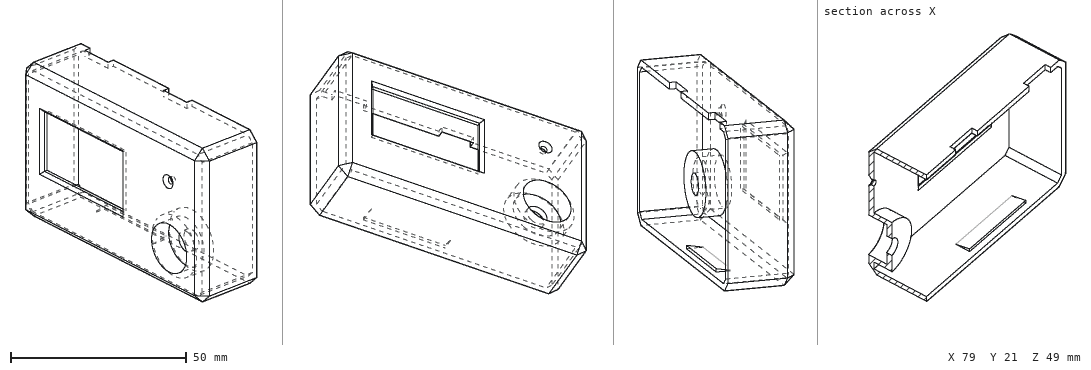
import cadquery as cq
import math

length = 79.0
depth = 21.0
height = 49.0
wall = 2.0
edge_chamfer = 3.0
cavity_chamfer = edge_chamfer - wall * (2 - math.sqrt(2))

window_x = 27.0
window_z = 27.0
window_length = 34.0
window_height = 19.0
window_bevel = 1.0

knob_x = 65.0
knob_z = 14.0
knob_diameter = 15.2
knob_depth = 6.5
shaft_diameter = 6.4
cup_diameter = knob_diameter + 2 * wall
cup_depth = knob_depth + wall

indicator_x = 64.5
indicator_z = 35.0
indicator_diameter = 2.0
countersink_diameter = 4.2
countersink_depth = 1.0

lid_thickness = 2.0
lid_seat_y = depth - lid_thickness
notch_length = 10.0
notch_starts = (7.0, 41.0)
ledge_start = 16.0
ledge_end = 42.0
ledge_height = 1.0
ledge_run = 5.0


def block(x, y, z, size_x, size_y, size_z):
    """Box with its lowest corner at (x, y, z)."""
    return cq.Workplane("XY", origin=(x, y, z)).box(size_x, size_y, size_z, centered=False)


def cylinder(x, z, diameter, y_length):
    """Cylinder along +Y starting on the face."""
    return cq.Workplane("XZ", origin=(x, 0, z)).circle(diameter / 2).extrude(-y_length)


def make_shell():
    outer = block(0, 0, 0, length, depth, height)
    outer = outer.edges("|Y or <Y").chamfer(edge_chamfer)
    cavity = block(wall, wall, wall, length - 2 * wall, depth - wall, height - 2 * wall)
    cavity = cavity.edges("|Y").chamfer(cavity_chamfer)
    return outer.cut(cavity)


def make_window_cutter():
    rim_length = window_length + 2 * window_bevel
    rim_height = window_height + 2 * window_bevel
    bevel = (
        cq.Workplane("XZ", origin=(window_x, 0, window_z))
        .rect(rim_length, rim_height)
        .workplane(offset=-window_bevel)
        .rect(window_length, window_height)
        .loft(ruled=True)
    )
    opening = cq.Workplane("XZ", origin=(window_x, 0, window_z))
    opening = opening.rect(window_length, window_height).extrude(-wall)
    return opening.union(bevel)


def add_knob_cup(body):
    body = body.union(cylinder(knob_x, knob_z, cup_diameter, cup_depth))
    body = body.cut(cylinder(knob_x, knob_z, knob_diameter, knob_depth))
    return body.cut(cylinder(knob_x, knob_z, shaft_diameter, cup_depth))


def make_indicator_cutter():
    hole = cylinder(indicator_x, indicator_z, indicator_diameter, wall)
    countersink = (
        cq.Workplane("XZ", origin=(indicator_x, 0, indicator_z))
        .circle(countersink_diameter / 2)
        .workplane(offset=-countersink_depth)
        .circle(indicator_diameter / 2)
        .loft(ruled=True)
    )
    return hole.union(countersink)


def make_lid_ledge():
    return (
        cq.Workplane("YZ", origin=(ledge_start, 0, wall))
        .moveTo(lid_seat_y - ledge_run, 0)
        .lineTo(lid_seat_y, ledge_height)
        .lineTo(lid_seat_y, 0)
        .close()
        .extrude(ledge_end - ledge_start)
    )


result = make_shell()
result = result.cut(make_window_cutter())
result = add_knob_cup(result)
result = result.cut(make_indicator_cutter())
for notch_start in notch_starts:
    notch = block(notch_start, lid_seat_y, height - wall, notch_length, lid_thickness, wall)
    result = result.cut(notch)
result = result.union(make_lid_ledge())